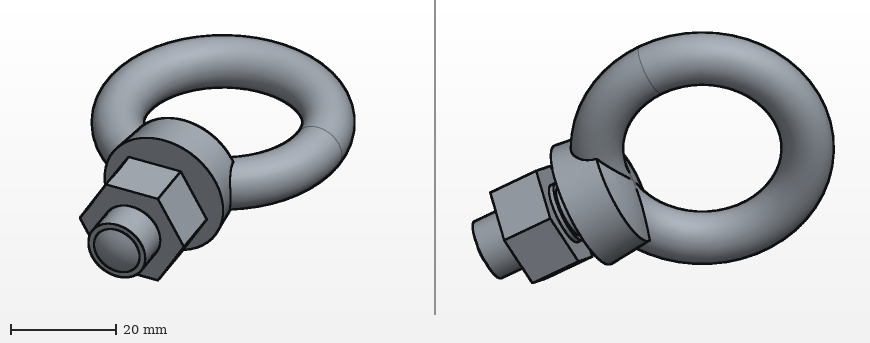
import cadquery as cq
import math


ring_bar_dia = 10.0
ring_inner_dia = 30.0
ring_centreline_radius = (ring_inner_dia + ring_bar_dia) / 2

collar_base_dia = 25.0
collar_rim_dia = 23.1
collar_base_y = -26.0
collar_rim_y = -17.2
collar_crown_y = -ring_inner_dia / 2

neck_dia = 10.0
neck_length = 3.0
shank_dia = 12.0
shank_start_y = collar_base_y - neck_length
tip_y = -48.0
tip_dome_dia = 9.6
tip_dome_height = 1.4
shank_end_y = tip_y + tip_dome_height

nut_across_flats = 19.0
nut_across_corners = nut_across_flats / math.cos(math.pi / 6)
nut_thickness = 10.0
nut_setback = 1.0
nut_start_y = shank_start_y - nut_setback


def dome_midpoint(edge_radius, edge_y, crown_y):
    """Point halfway round the arc from a dome's edge to its crown on the Y axis."""
    height = abs(crown_y - edge_y)
    toward_edge = math.copysign(1.0, edge_y - crown_y)
    sphere_radius = (edge_radius**2 + height**2) / (2 * height)
    half_angle = math.asin(edge_radius / sphere_radius) / 2
    drop = sphere_radius * (1 - math.cos(half_angle))
    return sphere_radius * math.sin(half_angle), crown_y + toward_edge * drop


def make_ring():
    """Round-bar ring of the eye."""
    return cq.Workplane(cq.Solid.makeTorus(ring_centreline_radius, ring_bar_dia / 2))


def make_stem():
    """Collar, neck, shank and domed tip, turned from one half profile."""
    rim_radius = collar_rim_dia / 2
    tip_radius = tip_dome_dia / 2
    return (
        cq.Workplane("XY")
        .moveTo(0, collar_crown_y)
        .threePointArc(
            dome_midpoint(rim_radius, collar_rim_y, collar_crown_y),
            (rim_radius, collar_rim_y),
        )
        .lineTo(collar_base_dia / 2, collar_base_y)
        .lineTo(neck_dia / 2, collar_base_y)
        .lineTo(neck_dia / 2, shank_start_y)
        .lineTo(shank_dia / 2, shank_start_y)
        .lineTo(shank_dia / 2, shank_end_y)
        .lineTo(tip_radius, shank_end_y)
        .threePointArc(dome_midpoint(tip_radius, shank_end_y, tip_y), (0, tip_y))
        .close()
        .revolve(360, (0, 0), (0, 1))
    )


def make_eye_bolt():
    """Ring and stem fused into one solid."""
    return make_ring().union(make_stem()).solids()


def make_nut():
    """Hexagon nut with two corners on the X axis, bored to fit the shank."""
    return (
        cq.Workplane("XZ", origin=(0, nut_start_y, 0))
        .polygon(6, nut_across_corners)
        .circle(shank_dia / 2)
        .extrude(nut_thickness)
    )


eye_bolt = make_eye_bolt()
nut = make_nut()

result = cq.Compound.makeCompound([eye_bolt.val(), nut.val()])